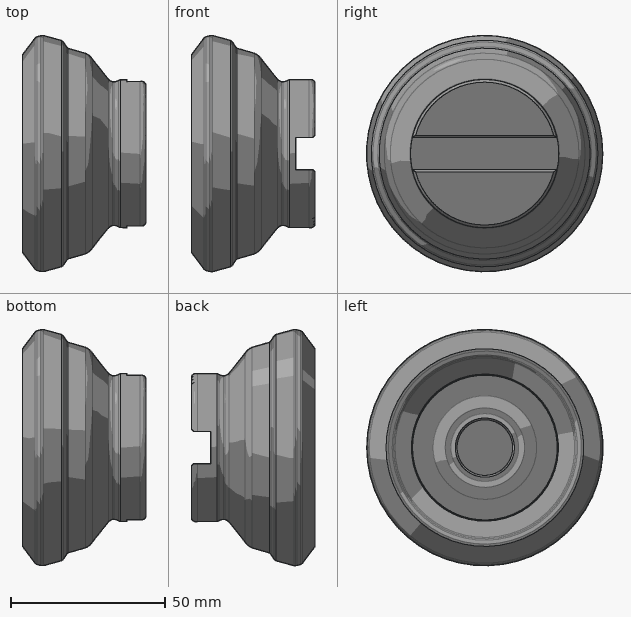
import cadquery as cq
import math

length = 40.05
rim_radius = 38.3

face_radius = 32.0
rim_round_start = (4.05, 37.45)
rim_round_mid = (4.4, 37.71)
rim_round_end = (4.7, 37.9)
rim_crest_start = (5.8, 38.2)
rim_crest_x = 6.35
rim_crest_end_x = 6.9
step_start = (12.7, 36.7)
step_top = (13.3, 36.15)
step_bottom = (14.3, 34.6)
step_end = (14.8, 34.15)
shoulder_start = (20.4, 32.55)
shoulder_mid = (21.7, 31.8)
shoulder_end = (22.75, 30.55)

collar_radius = 48.0 / 2
neck_radius = 46.6 / 2
neck_start = (27.8, 24.2)
neck_curve_mid = (28.55, 23.6)
neck_bottom_start_x = 29.25
neck_bottom_end_x = 29.6
neck_rise_mid = (30.4, 23.4)
neck_end = (31.1, 23.7)
collar_start_x = 31.7
collar_round = 1.9
rear_radius = 23.1

lip_outer_radius = 31.25
lip_inner_radius = 30.0
lip_depth = 0.3
lip_edge_radius = 29.55
lip_edge_depth = 0.5
dish_top_radius = 29.1
dish_top_depth = 0.85
dish_bottom_radius = 23.8
floor_radius = 23.4
floor_depth = 5.5
wall_foot_radius = 23.5
wall_foot_height = 1.4
wall_height = 1.8

boss_base_radius = 16.8
boss_top_radius = 12.9
boss_height = 0.5
ring_radius = 22.0 / 2
ring_height = 0.4
recess_mouth_radius = 9.6
recess_radius = 18.0 / 2
recess_depth = 0.5

slot_width = 10.4
slot_depth = 6.2
slot_chamfer = 0.7


def make_body():
    """Turn the half section, drawn as (X, radius), about the X axis."""
    boss_top_x = floor_depth - boss_height
    ring_x = floor_depth - ring_height
    round_x = length - collar_round
    half = math.sqrt(0.5)
    rear_mid = (
        round_x + collar_round * half,
        rear_radius + (collar_radius - rear_radius) * half,
    )
    section = (
        cq.Workplane("XY")
        .moveTo(floor_depth, 0)
        .lineTo(floor_depth, recess_radius)
        .lineTo(floor_depth - recess_depth, recess_mouth_radius)
        .lineTo(ring_x, ring_radius)
        .lineTo(boss_top_x, boss_top_radius)
        .lineTo(floor_depth, boss_base_radius)
        .lineTo(floor_depth, floor_radius)
        .lineTo(floor_depth - wall_foot_height, wall_foot_radius)
        .lineTo(floor_depth - wall_height, dish_bottom_radius)
        .lineTo(dish_top_depth, dish_top_radius)
        .lineTo(lip_edge_depth, lip_edge_radius)
        .lineTo(lip_depth, lip_inner_radius)
        .lineTo(0, lip_outer_radius)
        .lineTo(0, face_radius)
        .lineTo(*rim_round_start)
        .threePointArc(rim_round_mid, rim_round_end)
        .lineTo(*rim_crest_start)
        .lineTo(rim_crest_x, rim_radius)
        .lineTo(rim_crest_end_x, rim_radius)
        .lineTo(*step_start)
        .lineTo(*step_top)
        .lineTo(*step_bottom)
        .lineTo(*step_end)
        .lineTo(*shoulder_start)
        .threePointArc(shoulder_mid, shoulder_end)
        .lineTo(*neck_start)
        .threePointArc(neck_curve_mid, (neck_bottom_start_x, neck_radius))
        .lineTo(neck_bottom_end_x, neck_radius)
        .threePointArc(neck_rise_mid, neck_end)
        .lineTo(collar_start_x, collar_radius)
        .lineTo(round_x, collar_radius)
        .threePointArc(rear_mid, (length, rear_radius))
        .lineTo(length, 0)
        .close()
    )
    return section.revolve(360, (0, 0, 0), (1, 0, 0))


def make_slot():
    """Slot running right through along Y, with a chamfered mouth."""
    half_width = slot_width / 2
    mouth_half_width = half_width + slot_chamfer
    floor_x = length - slot_depth
    chamfer_x = length - slot_chamfer
    return (
        cq.Workplane("XZ")
        .polyline([
            (floor_x, -half_width),
            (chamfer_x, -half_width),
            (length, -mouth_half_width),
            (length, mouth_half_width),
            (chamfer_x, half_width),
            (floor_x, half_width),
        ])
        .close()
        .extrude(collar_radius + 0.8, both=True)
    )


result = make_body().cut(make_slot())